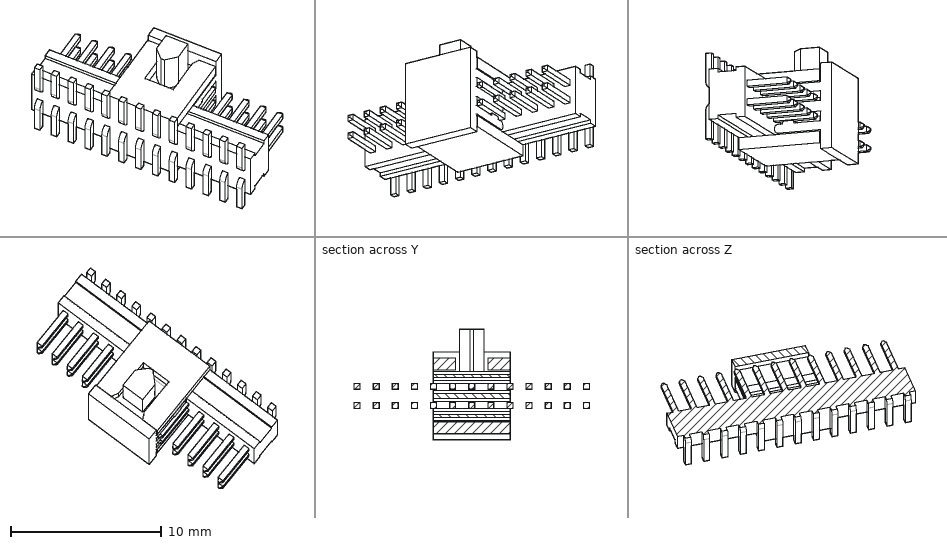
import cadquery as cq
import math

PINS_PER_ROW = 13
LENGTH = 16.51
PITCH = LENGTH / PINS_PER_ROW
ROW_Z = PITCH / 2
PIN = 0.41
BEND_OUTER = 0.6
PIN_TIP_Y = 5.55
TIP_LENGTH = 0.2
TIP_FLAT = 0.13
LEG_TOP_Z = 2.92

BASE_DEPTH = 2.53
BASE_HALF_Z = 1.72
GROOVE_FRONT_Y = 0.63
GROOVE_BACK_Y = 1.9
GROOVE_DEPTH = 0.25
GUIDE_WIDTH = 5.12
GUIDE_DEPTH = 5.7
GUIDE_THICKNESS = 0.81
SLOT_WIDTH = 2.15
SLOT_MOUTH_WIDTH = 2.64
SLOT_MOUTH_LENGTH = 0.5

BACK_FRONT_Y = 5.78
BACK_THICKNESS = 0.8
BACK_HALF_Z = LEG_TOP_Z
OUTER_ARM_TOP_Z = 1.63
OUTER_ARM_BOTTOM_Z = 1.02
MIDDLE_ARM_HALF_Z = 0.36
ARM_TIP_RADIUS = 0.25
BUMP_Y = 3.48
BUMP_BASE = 0.86
BUMP_CREST = 0.7
KNOB_BACK_Y = 5.05
KNOB_SHOULDER_Y = 3.71
KNOB_WIDTH = 1.65
KNOB_NOSE_WIDTH = 0.26
KNOB_TOP_Z = 4.44


def box(width, y0, y1, z0, z1):
    """Block centred on X = 0 between the given Y and Z limits."""
    return (
        cq.Workplane("XY")
        .box(width, y1 - y0, z1 - z0)
        .translate((0, (y0 + y1) / 2, (z0 + z1) / 2))
    )


def mirrored_pair(shape):
    """A shape joined with its reflection below the mid-plane."""
    return shape.union(shape.mirror("XY"))


def make_pin():
    """Upper-row pin at X = 0: contact pin to the rear, bend, then a leg rising in front of the base."""
    low = ROW_Z - PIN / 2
    high = ROW_Z + PIN / 2
    bend_inner = BEND_OUTER - PIN
    bend_y = bend_inner
    bend_z = low + BEND_OUTER
    diagonal = math.sqrt(0.5)
    taper_start = PIN_TIP_Y - TIP_LENGTH
    body = (
        cq.Workplane("YZ")
        .moveTo(taper_start, low)
        .lineTo(bend_y, low)
        .threePointArc(
            (bend_y - BEND_OUTER * diagonal, bend_z - BEND_OUTER * diagonal),
            (bend_y - BEND_OUTER, bend_z),
        )
        .lineTo(bend_y - BEND_OUTER, LEG_TOP_Z)
        .lineTo(bend_y - bend_inner, LEG_TOP_Z)
        .lineTo(bend_y - bend_inner, bend_z)
        .threePointArc(
            (bend_y - bend_inner * diagonal, bend_z - bend_inner * diagonal),
            (bend_y, high),
        )
        .lineTo(taper_start, high)
        .close()
        .extrude(PIN / 2, both=True)
    )
    tip = (
        cq.Workplane("XZ", origin=(0, taper_start, ROW_Z))
        .rect(PIN, PIN)
        .workplane(offset=-TIP_LENGTH)
        .rect(TIP_FLAT, TIP_FLAT)
        .loft()
    )
    return body.union(tip)


def make_base():
    """Bar with a groove along its top and bottom faces."""
    bar = box(LENGTH, 0, BASE_DEPTH, -BASE_HALF_Z, BASE_HALF_Z)
    groove = box(LENGTH, GROOVE_FRONT_Y, GROOVE_BACK_Y, BASE_HALF_Z - GROOVE_DEPTH, BASE_HALF_Z)
    return bar.cut(mirrored_pair(groove))


def make_guide_plates():
    """Upper and lower guide plates; only the upper one has the slot for the knob."""
    outer_z = BASE_HALF_Z + GUIDE_THICKNESS
    plates = mirrored_pair(box(GUIDE_WIDTH, 0, GUIDE_DEPTH, BASE_HALF_Z, outer_z))
    mouth_y = GUIDE_DEPTH - SLOT_MOUTH_LENGTH
    slot = (
        cq.Workplane("XY", origin=(0, 0, BASE_HALF_Z))
        .polyline([
            (-SLOT_WIDTH / 2, BASE_DEPTH),
            (SLOT_WIDTH / 2, BASE_DEPTH),
            (SLOT_WIDTH / 2, mouth_y),
            (SLOT_MOUTH_WIDTH / 2, GUIDE_DEPTH),
            (-SLOT_MOUTH_WIDTH / 2, GUIDE_DEPTH),
            (-SLOT_WIDTH / 2, mouth_y),
        ])
        .close()
        .extrude(GUIDE_THICKNESS)
    )
    return plates.cut(slot)


def make_housing():
    """Base, guide plates and the moulded-in pins as one solid."""
    housing = make_base().union(make_guide_plates())
    pin_pair = mirrored_pair(make_pin())
    for index in range(PINS_PER_ROW):
        x = (index - (PINS_PER_ROW - 1) / 2) * PITCH
        housing = housing.union(pin_pair.translate((x, 0, 0)))
    return housing


def make_arm(z0, z1):
    """Slider arm reaching forward to the base, with a rounded tip."""
    arm = box(GUIDE_WIDTH, BASE_DEPTH, BACK_FRONT_Y, z0, z1)
    return arm.faces("<Y").edges("|X").fillet(ARM_TIP_RADIUS)


def make_bump():
    """Tapered ridge under the upper arm that rests on the upper pins."""
    crest_z = ROW_Z + PIN / 2
    return (
        cq.Workplane("YZ")
        .polyline([
            (BUMP_Y - BUMP_BASE / 2, OUTER_ARM_BOTTOM_Z),
            (BUMP_Y - BUMP_CREST / 2, crest_z),
            (BUMP_Y + BUMP_CREST / 2, crest_z),
            (BUMP_Y + BUMP_BASE / 2, OUTER_ARM_BOTTOM_Z),
        ])
        .close()
        .extrude(GUIDE_WIDTH / 2, both=True)
    )


def make_knob():
    """Upright knob with a pointed front, standing on the upper arm."""
    half = KNOB_WIDTH / 2
    half_nose = KNOB_NOSE_WIDTH / 2
    nose_y = KNOB_SHOULDER_Y - (half - half_nose)
    return (
        cq.Workplane("XY", origin=(0, 0, OUTER_ARM_TOP_Z))
        .polyline([
            (-half, KNOB_BACK_Y),
            (-half, KNOB_SHOULDER_Y),
            (-half_nose, nose_y),
            (half_nose, nose_y),
            (half, KNOB_SHOULDER_Y),
            (half, KNOB_BACK_Y),
        ])
        .close()
        .extrude(KNOB_TOP_Z - OUTER_ARM_TOP_Z)
    )


def make_slider():
    """Back plate carrying three arms and the knob."""
    back = box(GUIDE_WIDTH, BACK_FRONT_Y, BACK_FRONT_Y + BACK_THICKNESS, -BACK_HALF_Z, BACK_HALF_Z)
    outer_arm = make_arm(OUTER_ARM_BOTTOM_Z, OUTER_ARM_TOP_Z).union(make_bump())
    middle_arm = make_arm(-MIDDLE_ARM_HALF_Z, MIDDLE_ARM_HALF_Z)
    return back.union(mirrored_pair(outer_arm)).union(middle_arm).union(make_knob())


housing = make_housing()
slider = make_slider()

result = cq.Compound.makeCompound([housing.solids().val(), slider.solids().val()])